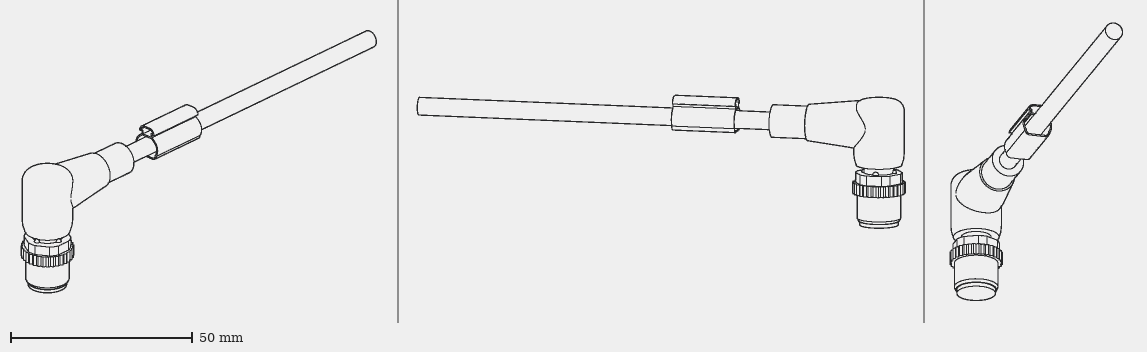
import cadquery as cq
import math


HOUSING_RADIUS = 7.0
HOUSING_TOP = 7.1
TOP_FILLET = 3.0
TAPER_START = -7.8
HOUSING_BOTTOM = -11.1
HOUSING_BOTTOM_RADIUS = 6.3
BOSS_RADIUS = 6.6
CONE_START = 6.6
CONE_END = 19.9
CONE_END_RADIUS = 5.1
BOOT_RADIUS = 4.5
BOOT_END = 30.0

CABLE_RADIUS = 2.5
CABLE_END = 130.0

SLEEVE_START = 40.1
SLEEVE_LENGTH = 17.7
SLEEVE_WALL = 0.4
TUBE_HALF = 4.1
TUBE_SIDE_TOP = 2.6
TUBE_SIDE_TOP_HALF = 2.7
TUBE_SIDE_BOTTOM = -1.9
TUBE_SIDE_BOTTOM_HALF = 3.6
TUBE_BOTTOM = -3.3
TUBE_BOTTOM_HALF = 2.2
TUBE_TOP = 3.3
NECK_HALF = 1.9
HEAD_BASE = 4.1
HEAD_TOP = 5.9
HEAD_HALF = 2.7
HEAD_FLAT_HALF = 1.0

NUT_TOP = -13.2
HEX_BOTTOM = -15.9
HEX_ACROSS_FLATS = 12.2
HEX_CORNER_RADIUS = 6.5
KNURL_RADIUS = 7.3
KNURL_BOTTOM = -19.0
TOOTH_COUNT = 32
GROOVE_DEPTH = 0.4
BARREL_RADIUS = 6.0
CHAMFER_START = -26.0
BARREL_BOTTOM = -26.8
BARREL_CHAMFER = 0.4
BUMP_RADIUS = 0.8
BUMP_COUNT = 4

STEM_RADIUS = 4.1
NOSE_RADIUS = 5.4
NOSE_BOTTOM = -27.9


def cylinder_z(radius, bottom, top):
    return cq.Workplane("XY").workplane(offset=bottom).circle(radius).extrude(top - bottom)


def make_housing():
    """Upright rounded head with a tapering cable outlet and a straight boot."""
    head = (
        cq.Workplane("XZ")
        .moveTo(0, HOUSING_TOP)
        .lineTo(HOUSING_RADIUS - TOP_FILLET, HOUSING_TOP)
        .radiusArc((HOUSING_RADIUS, HOUSING_TOP - TOP_FILLET), TOP_FILLET)
        .lineTo(HOUSING_RADIUS, TAPER_START)
        .tangentArcPoint((HOUSING_BOTTOM_RADIUS, HOUSING_BOTTOM), relative=False)
        .lineTo(0, HOUSING_BOTTOM)
        .close()
        .revolve(360, (0, 0, 0), (0, 1, 0))
    )
    outlet = (
        cq.Workplane("XY")
        .polyline([
            (0, 0),
            (BOSS_RADIUS, 0),
            (BOSS_RADIUS, CONE_START),
            (CONE_END_RADIUS, CONE_END),
            (BOOT_RADIUS, CONE_END),
            (BOOT_RADIUS, BOOT_END),
            (0, BOOT_END),
        ])
        .close()
        .revolve(360, (0, 0, 0), (0, 1, 0))
    )
    return head.union(outlet)


def make_cable():
    """Plain round cable that butts against the end of the boot."""
    return (
        cq.Workplane("XZ", origin=(0, BOOT_END, 0))
        .circle(CABLE_RADIUS)
        .extrude(BOOT_END - CABLE_END)
    )


def sleeve_plane():
    return cq.Workplane("XZ", origin=(0, SLEEVE_START, 0))


def tube_outline():
    """Barrel-sided channel that surrounds the cable."""
    corner_radius = TUBE_SIDE_BOTTOM - TUBE_BOTTOM
    return (
        sleeve_plane()
        .moveTo(-NECK_HALF, TUBE_TOP)
        .lineTo(NECK_HALF, TUBE_TOP)
        .lineTo(TUBE_SIDE_TOP_HALF, TUBE_SIDE_TOP)
        .threePointArc((TUBE_HALF, 0), (TUBE_SIDE_BOTTOM_HALF, TUBE_SIDE_BOTTOM))
        .radiusArc((TUBE_BOTTOM_HALF, TUBE_BOTTOM), corner_radius)
        .lineTo(-TUBE_BOTTOM_HALF, TUBE_BOTTOM)
        .radiusArc((-TUBE_SIDE_BOTTOM_HALF, TUBE_SIDE_BOTTOM), corner_radius)
        .threePointArc((-TUBE_HALF, 0), (-TUBE_SIDE_TOP_HALF, TUBE_SIDE_TOP))
        .close()
    )


def head_outline():
    """Round-shouldered label channel on a neck, sharing the wall on top of the tube."""
    neck_base = TUBE_TOP - SLEEVE_WALL
    shoulder_radius = HEAD_TOP - HEAD_BASE
    return (
        sleeve_plane()
        .moveTo(-HEAD_FLAT_HALF, HEAD_TOP)
        .lineTo(HEAD_FLAT_HALF, HEAD_TOP)
        .radiusArc((HEAD_HALF, HEAD_BASE), shoulder_radius)
        .lineTo(NECK_HALF, HEAD_BASE)
        .lineTo(NECK_HALF, neck_base)
        .lineTo(-NECK_HALF, neck_base)
        .lineTo(-NECK_HALF, HEAD_BASE)
        .lineTo(-HEAD_HALF, HEAD_BASE)
        .radiusArc((-HEAD_FLAT_HALF, HEAD_TOP), shoulder_radius)
        .close()
    )


def make_sleeve():
    """Thin-walled extrusion with a cable channel below and a label channel above."""
    tube = tube_outline().extrude(-SLEEVE_LENGTH)
    head = head_outline().extrude(-SLEEVE_LENGTH)
    cable_channel = tube_outline().offset2D(-SLEEVE_WALL).extrude(-SLEEVE_LENGTH)
    label_channel = head_outline().offset2D(-SLEEVE_WALL).extrude(-SLEEVE_LENGTH)
    return tube.union(head).cut(cable_channel).cut(label_channel)


def make_knurl():
    """Ring with straight V-shaped teeth evenly spaced round its rim."""
    half_pitch = math.pi / TOOTH_COUNT
    rim = []
    for corner in range(2 * TOOTH_COUNT):
        radius = KNURL_RADIUS - GROOVE_DEPTH * (corner % 2)
        angle = corner * half_pitch
        rim.append((radius * math.cos(angle), radius * math.sin(angle)))
    return (
        cq.Workplane("XY")
        .workplane(offset=KNURL_BOTTOM)
        .polyline(rim)
        .close()
        .extrude(HEX_BOTTOM - KNURL_BOTTOM)
    )


def make_nut(insert):
    """Coupling nut: trimmed hexagon, knurled ring and chamfered barrel, bored for the insert."""
    hexagon = (
        cq.Workplane("XY")
        .workplane(offset=HEX_BOTTOM)
        .polygon(6, HEX_ACROSS_FLATS, circumscribed=True)
        .extrude(NUT_TOP - HEX_BOTTOM)
        .intersect(cylinder_z(HEX_CORNER_RADIUS, HEX_BOTTOM, NUT_TOP))
    )
    barrel = (
        cylinder_z(BARREL_RADIUS, BARREL_BOTTOM, KNURL_BOTTOM)
        .faces("<Z")
        .chamfer(CHAMFER_START - BARREL_BOTTOM, BARREL_CHAMFER)
    )
    bumps = (
        cq.Workplane("XY")
        .workplane(offset=NUT_TOP)
        .polarArray(STEM_RADIUS, 0, 360, BUMP_COUNT)
        .sphere(BUMP_RADIUS)
    )
    return barrel.union(make_knurl()).union(hexagon).union(bumps).cut(insert)


def make_insert():
    """Contact insert: stem below the housing, wider nose out of the bottom of the nut."""
    stem = cylinder_z(STEM_RADIUS, HEX_BOTTOM, HOUSING_BOTTOM)
    return cylinder_z(NOSE_RADIUS, NOSE_BOTTOM, HEX_BOTTOM).union(stem)


housing = make_housing()
cable = make_cable()
sleeve = make_sleeve()
insert = make_insert()
nut = make_nut(insert)

result = cq.Compound.makeCompound([
    housing.val(),
    cable.val(),
    sleeve.val(),
    insert.val(),
    nut.val(),
])